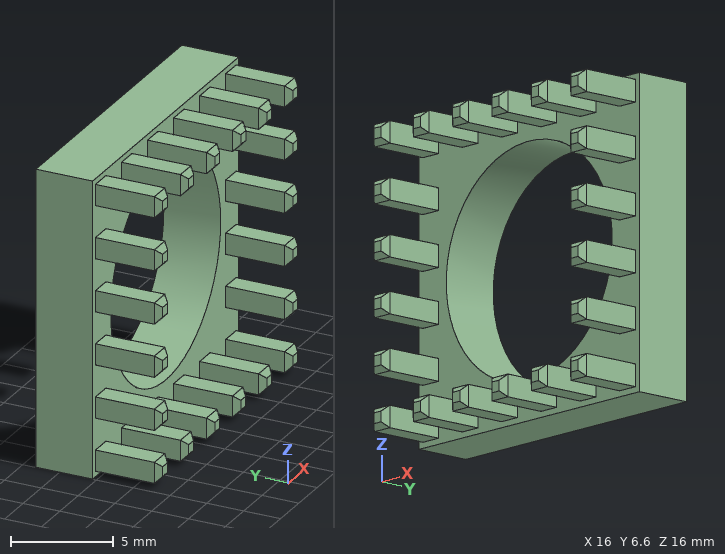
import cadquery as cq

frame_side = 16.0
frame_thickness = 3.1
opening_diameter = 12.0

pins_per_side = 6
pin_pitch = 2.85
pin_width = 1.14
pin_length = 3.5
tip_chamfer = 0.3

shank_length = pin_length - tip_chamfer
tip_width = pin_width - 2 * tip_chamfer


def make_frame():
    """Plate from Y = 0 (pin face) to Y = frame_thickness, with a through opening."""
    plate = cq.Workplane("XZ").rect(frame_side, frame_side).extrude(-frame_thickness)
    opening = cq.Workplane("XZ").circle(opening_diameter / 2).extrude(-frame_thickness)
    return plate.cut(opening)


def pin_positions():
    """(X, Z) centres of the pins along the perimeter of a square grid."""
    last = pins_per_side - 1
    half_span = last * pin_pitch / 2
    return [
        (column * pin_pitch - half_span, row * pin_pitch - half_span)
        for column in range(pins_per_side)
        for row in range(pins_per_side)
        if column in (0, last) or row in (0, last)
    ]


def make_pin(x, z):
    """Square shank pointing along -Y, ending in a truncated pyramid tip."""
    shank = cq.Workplane("XZ").center(x, z).rect(pin_width, pin_width).extrude(shank_length)
    tip = (
        cq.Workplane("XZ", origin=(0, -shank_length, 0))
        .center(x, z)
        .rect(pin_width, pin_width)
        .workplane(offset=tip_chamfer)
        .rect(tip_width, tip_width)
        .loft(ruled=True)
    )
    return shank.union(tip)


result = make_frame()
for pin_x, pin_z in pin_positions():
    result = result.union(make_pin(pin_x, pin_z))